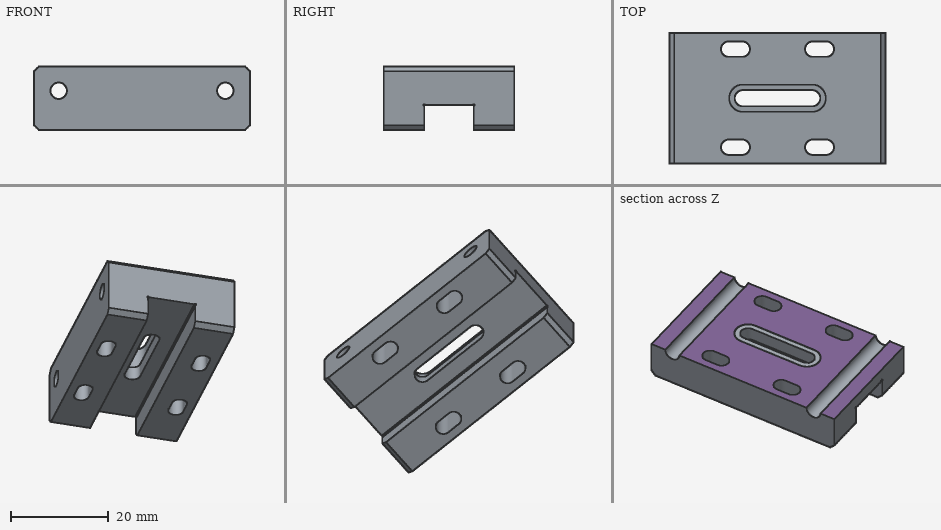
import cadquery as cq

length = 44.1
width = 26.7
height = 13.0
end_chamfer = 1.0

channel_width = 10.0
channel_depth = 5.05
relief_radius = 0.18

cross_hole_diameter = 3.3
cross_hole_spacing = 34.0
cross_hole_drop = 5.0

mount_slot_length = 5.85
mount_slot_width = 3.1
mount_slot_spacing_x = 17.15
mount_slot_spacing_y = 20.0

center_slot_length = 17.4
center_slot_width = 3.25
step_margin = 1.15
step_depth = 5.0


def slot_cutter(slot_length, slot_width, depth, centers):
    """Slots along X, reaching down from the top face."""
    return (
        cq.Workplane("XY")
        .workplane(offset=height - depth)
        .pushPoints(centers)
        .slot2D(slot_length, slot_width)
        .extrude(depth)
    )


def chamfered_block():
    block = cq.Workplane("XY").box(length, width, height, centered=(True, True, False))
    return block.faces("<X or >X").edges("|Y").chamfer(end_chamfer)


def channel_cutter():
    channel = cq.Workplane("XY").box(
        length, channel_width, channel_depth, centered=(True, True, False)
    )
    corners = [(side * channel_width / 2, channel_depth) for side in (-1, 1)]
    reliefs = (
        cq.Workplane("YZ")
        .pushPoints(corners)
        .circle(relief_radius)
        .extrude(length / 2, both=True)
    )
    return channel.union(reliefs)


def cross_hole_cutter():
    centers = [(side * cross_hole_spacing / 2, height - cross_hole_drop) for side in (-1, 1)]
    return (
        cq.Workplane("XZ")
        .pushPoints(centers)
        .circle(cross_hole_diameter / 2)
        .extrude(width / 2, both=True)
    )


mount_slot_centers = [
    (x_side * mount_slot_spacing_x / 2, y_side * mount_slot_spacing_y / 2)
    for x_side in (-1, 1)
    for y_side in (-1, 1)
]
mount_slots = slot_cutter(mount_slot_length, mount_slot_width, height, mount_slot_centers)

center_slot = slot_cutter(center_slot_length, center_slot_width, height, [(0, 0)])
step_slot = slot_cutter(
    center_slot_length + 2 * step_margin,
    center_slot_width + 2 * step_margin,
    step_depth,
    [(0, 0)],
)

result = (
    chamfered_block()
    .cut(channel_cutter())
    .cut(cross_hole_cutter())
    .cut(mount_slots)
    .cut(center_slot)
    .cut(step_slot)
)